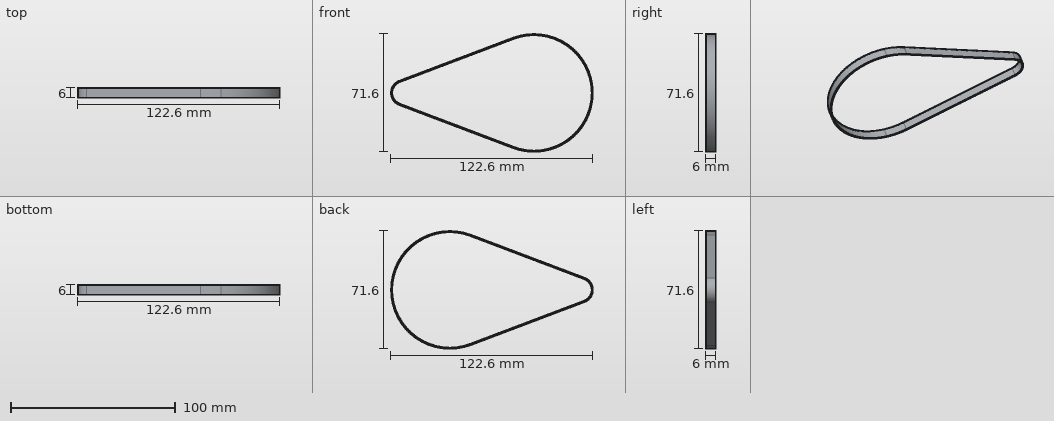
import cadquery as cq
import math

length = 122.6
width = 6.0
thickness = 0.8
large_radius = 35.8
small_radius = 7.8

small_x = -length / 2 + small_radius
large_x = length / 2 - large_radius

run_tilt = math.asin((large_radius - small_radius) / (large_x - small_x))
run_normal = math.pi / 2 + run_tilt


def polar(center_x, radius, angle):
    """Point on a circle centred on the X axis."""
    return (center_x + radius * math.cos(angle), radius * math.sin(angle))


def teardrop(inset):
    """Solid filling the belt loop, its outline offset inward by inset."""
    small = small_radius - inset
    large = large_radius - inset
    mid_angle = (math.pi / 2 + run_normal) / 2
    return (
        cq.Workplane("XZ", origin=(0, width / 2, 0))
        .moveTo(*polar(small_x, small, run_normal))
        .lineTo(*polar(large_x, large, run_normal))
        .threePointArc(polar(large_x, large, mid_angle), (large_x, large))
        .threePointArc((large_x + large, 0), (large_x, -large))
        .threePointArc(polar(large_x, large, -mid_angle), polar(large_x, large, -run_normal))
        .lineTo(*polar(small_x, small, -run_normal))
        .threePointArc((small_x - small, 0), polar(small_x, small, run_normal))
        .close()
        .extrude(width, clean=False)
    )


result = teardrop(0).cut(teardrop(thickness), clean=False)